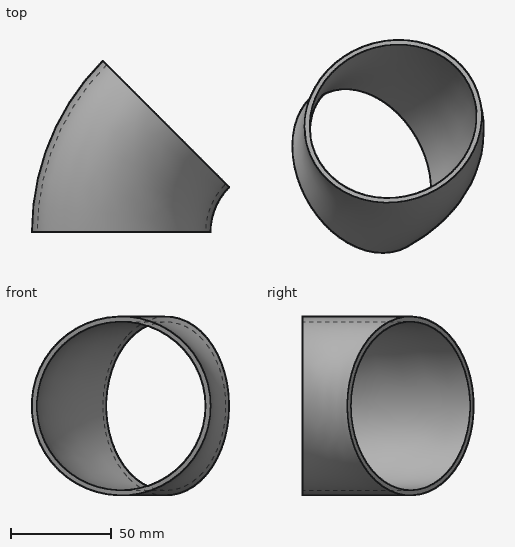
import cadquery as cq

outer_diameter = 88.9
wall_thickness = 2.6
outer_radius = outer_diameter / 2
inner_radius = outer_radius - wall_thickness

bend_radius = 76.0
bend_angle = 45.0


def pipe_elbow():
    """Sweep the pipe ring from +Y towards +X about a vertical bend axis."""
    ring = cq.Workplane("XZ").circle(outer_radius).circle(inner_radius)
    axis_start = (bend_radius, 0)
    axis_end = (bend_radius, -1)
    return ring.revolve(bend_angle, axis_start, axis_end)


result = pipe_elbow()